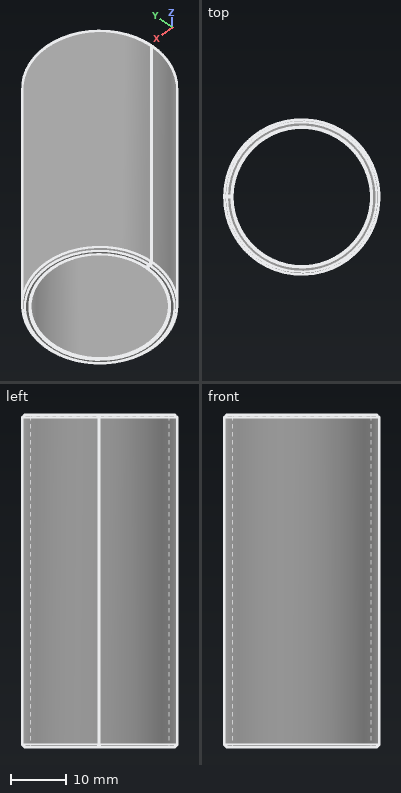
import cadquery as cq

outer_diameter = 28.0
wall = 1.5
length = 60.0
outer_chamfer = 0.5
inner_chamfer = 0.2
seam_angle = 1.0

outer_radius = outer_diameter / 2
inner_radius = outer_radius - wall


def wall_section():
    """Wall cross-section on the -X side, chamfered at all four corners."""
    outer_end_radius = outer_radius - outer_chamfer
    inner_end_radius = inner_radius + inner_chamfer
    corners = [
        (-inner_radius, inner_chamfer),
        (-inner_end_radius, 0),
        (-outer_end_radius, 0),
        (-outer_radius, outer_chamfer),
        (-outer_radius, length - outer_chamfer),
        (-outer_end_radius, length),
        (-inner_end_radius, length),
        (-inner_radius, length - inner_chamfer),
    ]
    return cq.Workplane("XZ").polyline(corners).close()


def split_sleeve():
    """Sweep the wall around Z from -X through -Y, stopping short to leave the seam on the +Y side of -X."""
    axis_start = (0, 0)
    axis_end = (0, 1)
    return wall_section().revolve(360 - seam_angle, axis_start, axis_end)


result = split_sleeve()